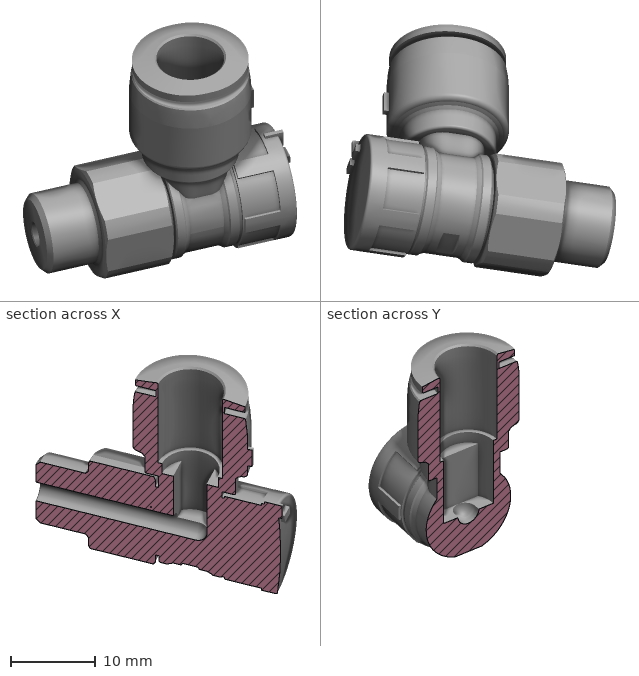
import cadquery as cq
import math


overall_length = 31.15
overlap = 0.3
round_mid_inset = 1 - math.sqrt(0.5)

tube_top = 21.97
tube_bore_dia = 8.0
tube_bore_floor = 9.35
tube_bore_chamfer = 0.22
tube_mouth_radius = tube_bore_dia / 2 + tube_bore_chamfer
seat_bore_dia = 7.0
seat_bore_floor = 7.8
channel_width = 4.18

ring_width = 13.18
ring_length = 13.85
ring_bottom = 20.63
ring_bevel_height = 0.37
ring_neck_dia = 8.72

collar_dia = 14.5
collar_top = 19.72
collar_top_radius = 6.98
collar_top_chamfer = 0.15
collar_shoulder = 16.98
collar_bottom = 10.35
collar_fillet = 0.7
socket_dia = 11.5
socket_bottom = 7.17
socket_top = 10.15
socket_flare_width = 0.3
socket_flare_height = 0.37
socket_fillet = 0.3

key_width = 0.78
key_reach = 7.82
key_bottom = 12.28
key_top = 15.0

stem_width = 9.05
stem_length = 8.0
stem_corner = 3.0

thread_end = -19.4
thread_dia = 9.72
thread_chamfer = 0.6
port_dia = 2.9
port_chamfer = 0.12

nut_front = -12.85
nut_back = -4.33
nut_across_flats = 13.1
nut_corner_radius = 6.98
nut_face_radius = 6.48
nut_chamfer_length = 0.25
thread_shoulder_radius = 5.25
thread_shoulder_length = 0.3

journal_radius = 5.45
rim_radius = 6.45
rim_chamfer = 0.15
rim_edge_radius = rim_radius - rim_chamfer
waist_radius = 6.05
waist_half_length = 2.12
front_rim_start = -3.93
front_rim_end = -2.8
back_rim_start = 2.85
back_rim_end = 3.85
relief_depth = 0.3
relief_half_width = 0.97
relief_slope = 0.2

sleeve_start = 4.3
sleeve_radius = 6.6
flange_start = 8.9
flange_face = 11.0
flange_radius = 6.92
flange_fillet = 0.3
dome_height = 0.4
finger_start = 4.5
finger_width = 2.1
finger_count = 6

pointer_width = 0.53
pointer_start = 9.3
pointer_end = 11.6
pointer_bottom = 5.25
pointer_top = 7.3
pad_inner = 0.53
pad_outer = 2.3
pad_bottom = 4.2
pad_top = 5.25
pad_reach = thread_end + overall_length
pad_top_reach = 11.7


def box(x_range, y_range, z_range):
    """Box given by its (low, high) limits along each axis."""
    size = [high - low for low, high in (x_range, y_range, z_range)]
    corner = (x_range[0], y_range[0], z_range[0])
    return cq.Workplane("XY").box(*size, centered=False).translate(corner)


def cylinder_z(radius, bottom, top):
    return cq.Workplane("XY").workplane(offset=bottom).circle(radius).extrude(top - bottom)


def turned_y(points):
    """Revolve a (radius, y) outline about the Y axis."""
    outline = [(0, points[0][1])] + points + [(0, points[-1][1])]
    return cq.Workplane("XY").polyline(outline).close().revolve(360, (0, 0), (0, 1))


def make_release_ring():
    """Oblong plate with a shallow conical top, on a round neck."""
    envelope = (
        cq.Workplane("XZ")
        .polyline([
            (0, ring_bottom),
            (ring_length / 2, ring_bottom),
            (ring_length / 2, tube_top - ring_bevel_height),
            (tube_mouth_radius, tube_top),
            (0, tube_top),
        ])
        .close()
        .revolve(360, (0, 0), (0, 1))
    )
    plate = (
        cq.Workplane("XY")
        .workplane(offset=ring_bottom)
        .slot2D(ring_length, ring_width, 90)
        .extrude(tube_top - ring_bottom)
        .intersect(envelope)
    )
    return plate.union(cylinder_z(ring_neck_dia / 2, collar_top - overlap, ring_bottom + overlap))


def make_collar():
    """Tapered collar, the socket below it and a small key on its +Y side."""
    radius = collar_dia / 2
    socket_radius = socket_dia / 2
    taper_height = collar_top - collar_top_chamfer - collar_shoulder
    taper_inset = radius - collar_top_radius
    arc_radius = (taper_height**2 + taper_inset**2) / (2 * taper_inset)
    half_angle = math.asin(taper_height / arc_radius) / 2
    arc_mid = (
        radius - arc_radius * (1 - math.cos(half_angle)),
        collar_shoulder + arc_radius * math.sin(half_angle),
    )
    fillet_offset = collar_fillet * round_mid_inset
    socket_offset = socket_fillet * round_mid_inset
    profile = (
        cq.Workplane("XZ")
        .moveTo(0, socket_bottom)
        .lineTo(socket_radius - socket_fillet, socket_bottom)
        .threePointArc(
            (socket_radius - socket_offset, socket_bottom + socket_offset),
            (socket_radius, socket_bottom + socket_fillet),
        )
        .lineTo(socket_radius, socket_top - socket_flare_height)
        .lineTo(socket_radius + socket_flare_width, socket_top)
        .lineTo(radius - collar_fillet, collar_bottom)
        .threePointArc(
            (radius - fillet_offset, collar_bottom + fillet_offset),
            (radius, collar_bottom + collar_fillet),
        )
        .lineTo(radius, collar_shoulder)
        .threePointArc(arc_mid, (collar_top_radius, collar_top - collar_top_chamfer))
        .lineTo(collar_top_radius - collar_top_chamfer, collar_top)
        .lineTo(0, collar_top)
        .close()
    )
    collar = profile.revolve(360, (0, 0), (0, 1))
    key = box((-key_width / 2, key_width / 2), (0, key_reach), (key_bottom, key_top))
    return collar.union(key)


def make_stem():
    return (
        cq.Workplane("XY")
        .rect(stem_width, stem_length)
        .extrude(socket_bottom + overlap)
        .edges("|Z")
        .fillet(stem_corner)
    )


def make_body():
    """Turned body with a waist between two rims."""
    body = turned_y([
        (journal_radius, nut_back - overlap),
        (journal_radius, front_rim_start),
        (rim_edge_radius, front_rim_start),
        (rim_radius, front_rim_start + rim_chamfer),
        (rim_radius, front_rim_end),
        (rim_edge_radius, front_rim_end + rim_chamfer),
        (waist_radius, -waist_half_length),
        (waist_radius, waist_half_length),
        (rim_edge_radius, back_rim_start - rim_chamfer),
        (rim_radius, back_rim_start),
        (rim_radius, back_rim_end),
        (rim_edge_radius, back_rim_end + rim_chamfer),
        (rim_edge_radius, sleeve_start + overlap),
    ])
    outer_half_width = relief_half_width + relief_slope
    relief = (
        cq.Workplane("YZ")
        .polyline([
            (-outer_half_width, -waist_radius),
            (-relief_half_width, relief_depth - waist_radius),
            (relief_half_width, relief_depth - waist_radius),
            (outer_half_width, -waist_radius),
        ])
        .close()
        .extrude(waist_radius, both=True)
    )
    return body.cut(relief)


def make_nut():
    hexagon = (
        cq.Workplane("XZ", origin=(0, nut_front, 0))
        .polygon(6, nut_across_flats, circumscribed=True)
        .extrude(nut_front - nut_back)
    )
    envelope = turned_y([
        (nut_face_radius, nut_front),
        (nut_corner_radius, nut_front + nut_chamfer_length),
        (nut_corner_radius, nut_back - nut_chamfer_length),
        (nut_face_radius, nut_back),
    ])
    return hexagon.intersect(envelope)


def make_thread():
    radius = thread_dia / 2
    return turned_y([
        (radius - thread_chamfer, thread_end),
        (radius, thread_end + thread_chamfer),
        (radius, nut_front - thread_shoulder_length),
        (thread_shoulder_radius, nut_front),
        (thread_shoulder_radius, nut_front + overlap),
    ])


def make_cap():
    fillet_offset = flange_fillet * round_mid_inset
    dome_edge = flange_radius - flange_fillet
    dome_radius = (dome_edge**2 + dome_height**2) / (2 * dome_height)
    dome_sag = dome_radius - math.sqrt(dome_radius**2 - (dome_edge / 2) ** 2)
    cap = (
        cq.Workplane("XY")
        .moveTo(0, sleeve_start)
        .lineTo(sleeve_radius, sleeve_start)
        .lineTo(sleeve_radius, finger_start)
        .lineTo(flange_radius, finger_start)
        .lineTo(flange_radius, flange_face - flange_fillet)
        .threePointArc(
            (flange_radius - fillet_offset, flange_face - fillet_offset),
            (dome_edge, flange_face),
        )
        .threePointArc(
            (dome_edge / 2, flange_face + dome_height - dome_sag),
            (0, flange_face + dome_height),
        )
        .close()
        .revolve(360, (0, 0), (0, 1))
    )
    outer_edge = flange_radius + overlap
    windows = turned_y([(outer_edge, finger_start), (outer_edge, flange_start)]).cut(
        turned_y([(sleeve_radius, finger_start), (sleeve_radius, flange_start)])
    )
    half_width = finger_width / 2
    finger = box((0, outer_edge), (finger_start, flange_start), (-half_width, half_width))
    for index in range(finger_count):
        windows = windows.cut(finger.rotate((0, 0, 0), (0, 1, 0), index * 360 / finger_count))
    return cap.cut(windows)


def make_indicator():
    """Pointer tab on top of the cap rim and two raised pads below it."""
    half_width = pointer_width / 2
    marks = box(
        (-half_width, half_width),
        (pointer_start, pointer_end),
        (pointer_bottom, pointer_top),
    )
    pad = (
        cq.Workplane("YZ", origin=(pad_inner, 0, 0))
        .polyline([
            (flange_start, pad_bottom),
            (pad_reach, pad_bottom),
            (pad_top_reach, pad_top),
            (flange_start, pad_top),
        ])
        .close()
        .extrude(pad_outer - pad_inner)
    )
    return marks.union(pad).union(pad.mirror("YZ"))


def make_tube_passage():
    bore_radius = tube_bore_dia / 2
    seat_radius = seat_bore_dia / 2
    bore = cylinder_z(bore_radius, tube_bore_floor, tube_top)
    entry = (
        cq.Workplane("XY")
        .workplane(offset=tube_top)
        .circle(tube_mouth_radius)
        .workplane(offset=-tube_bore_chamfer)
        .circle(bore_radius)
        .loft(ruled=True)
    )
    seat = cylinder_z(seat_radius, seat_bore_floor, tube_bore_floor + overlap)
    channel = cylinder_z(seat_radius, 0, seat_bore_floor + overlap).intersect(
        box(
            (-seat_radius, seat_radius),
            (-channel_width / 2, channel_width / 2),
            (0, seat_bore_floor + overlap),
        )
    )
    return bore.union(entry).union(seat).union(channel)


def make_port():
    """Through port from the thread end, closed by a round end under the channel."""
    radius = port_dia / 2
    round_end_center = channel_width / 2 - radius
    hole = turned_y([
        (radius + port_chamfer, thread_end),
        (radius, thread_end + port_chamfer),
        (radius, round_end_center),
    ])
    return hole.union(cq.Workplane("XY").sphere(radius).translate((0, round_end_center, 0)))


result = (
    make_body()
    .union(make_stem())
    .union(make_collar())
    .union(make_release_ring())
    .union(make_nut())
    .union(make_thread())
    .union(make_cap())
    .union(make_indicator())
    .cut(make_tube_passage())
    .cut(make_port())
)